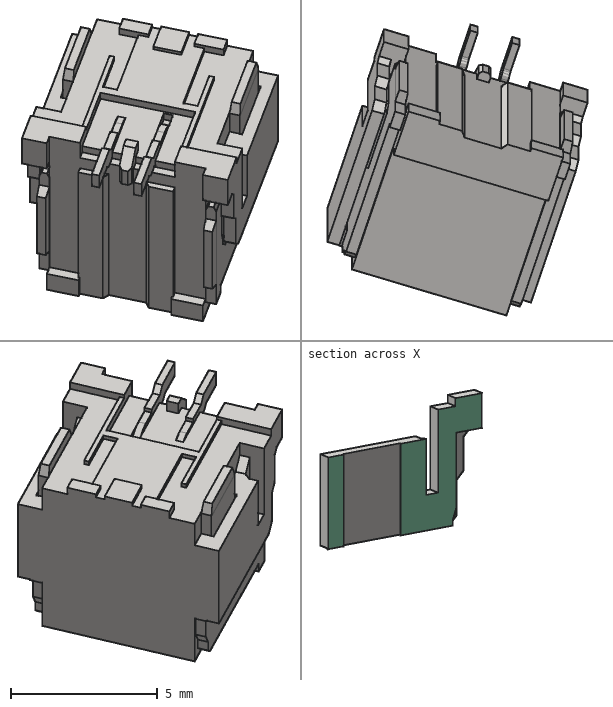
import cadquery as cq
import math

TOTAL_HEIGHT = 7.3
BODY_BOTTOM_Z = 0.785
WING_BOTTOM_Z = 2.74
WING_TOP_Z = 5.99
LEDGE_Z = 6.5
RECESS_FLOOR_Z = 6.8
MAIN_TOP_Z = 6.95
PANEL_TOP_Z = 7.105
PAD_TOP_Z = 7.24

REAR_Y = 7.4
BODY_FRONT_Y = 1.36
RIB_FRONT_Y = 1.155
CORNER_FRONT_Y = 1.035
CORNER_REAR_Y = 2.145
WING_BLOCK_REAR_Y = 2.865
LEDGE_REAR_Y = 1.635

OUTER_X = 3.65
SKIN_INNER_X = 3.22
PLATE_OUTER_X = 3.14
BODY_X = 2.77
RECESS_X = 1.68

SKIN_LOW_Y = 2.37
SKIN_MIDDLE_Y = 2.06
SKIN_MIDDLE_Z = (3.05, 4.31)
SKIN_UPPER_Y = 1.77
SKIN_UPPER_Z = (4.595, 5.795)

CORE_BOTTOM_Z = 2.71
CORE_UNDERCUT_Y = 2.24
CORE_UNDERCUT_Z = (2.885, 3.33)
CORE_FRONT_Y = 2.09

PLATE_REAR_Y = 7.305
PLATE_BOTTOM_Z = 0.94
PLATE_TAPER_Z = (1.5, 1.92)
PLATE_LOWER_REAR_Y = 7.075
PLATE_CORNER_CHAMFER = 0.185
PLATE_HOOK_REAR_Y = 1.99
PLATE_HOOK_BOTTOM_Z = 0.59
PLATE_FRONT_Y = 1.39
PLATE_TOP_Z = 5.36
PLATE_TOP_CHAMFER_X = 0.09
PLATE_TOP_CHAMFER_Z = 0.185
TAB_FRONT_Y = 1.01
TAB_BASE_Z = (1.555, 4.72)
TAB_TAPER_Z = 0.18
TOP_TAB_Y = (4.395, 6.74)
TOP_TAB_SHOULDER_Z = 6.89
TOP_TAB_TAPER_Y = 0.16
TAB_TAPER_X = 0.03

SLOT_BOTTOM_Z = 3.995
SLOT_DEEP_X = 3.13
SLOT_REAR_Y = 3.47
SLOT_CHAMFER = 0.19

PANEL_X = 1.17
ARM_OUTER_X = 1.85
ARM_REAR_Y = 5.71
PANEL_NOTCH_FRONT_Y = 4.24
RECESS_REAR_Y = 3.95

CENTRE_PAD_X = 0.495
CENTRE_PAD_LENGTH = 0.99
SIDE_PAD_X = (0.815, ARM_OUTER_X)
SIDE_PAD_LENGTH = 0.48

RIB_INNER_X = 0.815
RIB_ROOT_X = 0.66
FOOT_INNER_X = 1.635
FOOT_REAR_Y = 2.69
FOOT_CHAMFER = 0.185

NUB_X = 0.215
NUB_REAR_Y = 1.95
NUB_SLOPE_END_Z = 6.66
NUB_CHAMFER = 0.1

PIN_CENTRE_X = 0.75
PIN_WIDTH = 0.27
PIN_TAIL_Y = 3.63
PIN_TAIL_TOP_Y = 2.93
PIN_TAIL_Z = 6.9
PIN_STEP_Y = 2.33
PIN_MIDDLE_Z = 7.045
PIN_RISE_Y = (1.525, 1.27)
PIN_TIP_BOTTOM_Z = 6.705
PIN_ROOT_BOTTOM_Z = 6.52
PIN_BEND_Y = (1.17, 1.01)
PIN_INNER_BEND_RADIUS = 0.075
PIN_OUTER_BEND_RADIUS = 0.25
PIN_SLOT_WIDTH = 0.325
PIN_SLOT_REAR_Y = 3.87


def box(x_range, y_range, z_range):
    """Box between two places on each axis."""
    (x0, x1), (y0, y1), (z0, z1) = x_range, y_range, z_range
    return cq.Workplane("XY").box(x1 - x0, y1 - y0, z1 - z0, centered=False).translate((x0, y0, z0))


def side_profile(points, x_range):
    """Extrude a (Y, Z) outline between two X places."""
    x0, x1 = x_range
    return cq.Workplane("YZ").workplane(offset=x0).polyline(points).close().extrude(x1 - x0)


def top_profile(points, z_range):
    """Extrude an (X, Y) outline between two Z levels."""
    z0, z1 = z_range
    return cq.Workplane("XY").workplane(offset=z0).polyline(points).close().extrude(z1 - z0)


def both_sides(shape):
    """The shape together with its mirror image across X = 0."""
    return shape.union(shape.mirror("YZ"))


def make_body():
    return side_profile(
        [
            (BODY_FRONT_Y, 0),
            (FOOT_REAR_Y, 0),
            (FOOT_REAR_Y, BODY_BOTTOM_Z - FOOT_CHAMFER),
            (FOOT_REAR_Y + FOOT_CHAMFER, BODY_BOTTOM_Z),
            (REAR_Y, BODY_BOTTOM_Z),
            (REAR_Y, MAIN_TOP_Z),
            (CORNER_REAR_Y, MAIN_TOP_Z),
            (CORNER_REAR_Y, PAD_TOP_Z),
            (BODY_FRONT_Y, PAD_TOP_Z),
        ],
        (-BODY_X, BODY_X),
    )


def make_panel():
    """Raised panel with a narrow arm on each side reaching back."""
    half = [
        (PANEL_X, REAR_Y),
        (PANEL_X, PANEL_NOTCH_FRONT_Y),
        (RECESS_X, PANEL_NOTCH_FRONT_Y),
        (RECESS_X, ARM_REAR_Y),
        (ARM_OUTER_X, ARM_REAR_Y),
        (ARM_OUTER_X, CORNER_REAR_Y),
    ]
    mirrored = [(-x, y) for x, y in reversed(half)]
    return top_profile(half + mirrored, (MAIN_TOP_Z, PANEL_TOP_Z))


def make_pads():
    centre = box((-CENTRE_PAD_X, CENTRE_PAD_X), (REAR_Y - CENTRE_PAD_LENGTH, REAR_Y), (MAIN_TOP_Z, PAD_TOP_Z))
    side = box(SIDE_PAD_X, (REAR_Y - SIDE_PAD_LENGTH, REAR_Y), (MAIN_TOP_Z, PAD_TOP_Z))
    return centre.union(both_sides(side))


def make_front_recess():
    """Void over the pins: a floor, a lower ledge at the front and a slot around the right pin."""
    front_y = CORNER_FRONT_Y
    floor = box((-RECESS_X, RECESS_X), (front_y, RECESS_REAR_Y), (RECESS_FLOOR_Z, TOTAL_HEIGHT))
    ledge = box((-RECESS_X, RECESS_X), (front_y, LEDGE_REAR_Y), (LEDGE_Z, TOTAL_HEIGHT))
    slot = box(
        (PIN_CENTRE_X - PIN_SLOT_WIDTH / 2, PIN_CENTRE_X + PIN_SLOT_WIDTH / 2),
        (front_y, PIN_SLOT_REAR_Y),
        (LEDGE_Z, TOTAL_HEIGHT),
    )
    return floor.union(ledge).union(slot)


def make_ribs_and_feet():
    rib = top_profile(
        [
            (RIB_ROOT_X, BODY_FRONT_Y),
            (RIB_INNER_X, RIB_FRONT_Y),
            (RECESS_X, RIB_FRONT_Y),
            (RECESS_X, BODY_FRONT_Y),
        ],
        (0, WING_TOP_Z),
    )
    foot = box((FOOT_INNER_X, BODY_X), (CORNER_FRONT_Y, BODY_FRONT_Y), (0, BODY_BOTTOM_Z))
    return both_sides(rib.union(foot))


def make_wing():
    """Right wing: a front corner block, an outer skin and the thicker part inside it."""
    corner = side_profile(
        [
            (CORNER_FRONT_Y, WING_TOP_Z),
            (CORNER_FRONT_Y, PAD_TOP_Z),
            (CORNER_REAR_Y, PAD_TOP_Z),
            (CORNER_REAR_Y, MAIN_TOP_Z),
            (WING_BLOCK_REAR_Y, MAIN_TOP_Z),
            (WING_BLOCK_REAR_Y, WING_TOP_Z),
        ],
        (BODY_X, OUTER_X),
    )
    skin = side_profile(
        [
            (REAR_Y, WING_TOP_Z),
            (REAR_Y, WING_BOTTOM_Z),
            (SKIN_LOW_Y, WING_BOTTOM_Z),
            (SKIN_MIDDLE_Y, SKIN_MIDDLE_Z[0]),
            (SKIN_MIDDLE_Y, SKIN_MIDDLE_Z[1]),
            (SKIN_UPPER_Y, SKIN_UPPER_Z[0]),
            (SKIN_UPPER_Y, SKIN_UPPER_Z[1]),
            (SKIN_UPPER_Y - (WING_TOP_Z - SKIN_UPPER_Z[1]), WING_TOP_Z),
        ],
        (SKIN_INNER_X, OUTER_X),
    )
    core = side_profile(
        [
            (REAR_Y, WING_TOP_Z),
            (REAR_Y, CORE_BOTTOM_Z),
            (CORE_UNDERCUT_Y, CORE_BOTTOM_Z),
            (CORE_UNDERCUT_Y, CORE_UNDERCUT_Z[0]),
            (CORE_FRONT_Y, CORE_UNDERCUT_Z[1]),
            (CORE_FRONT_Y, WING_TOP_Z),
        ],
        (BODY_X, SKIN_INNER_X),
    )
    plate_gap = box((PLATE_OUTER_X, SKIN_INNER_X), TOP_TAB_Y, (CORE_BOTTOM_Z, WING_TOP_Z))
    slot = top_profile(
        [
            (OUTER_X, SLOT_REAR_Y),
            (SLOT_DEEP_X + SLOT_CHAMFER, SLOT_REAR_Y),
            (SLOT_DEEP_X, SLOT_REAR_Y - SLOT_CHAMFER),
            (SLOT_DEEP_X, WING_BLOCK_REAR_Y),
            (OUTER_X, WING_BLOCK_REAR_Y),
        ],
        (SLOT_BOTTOM_Z, WING_TOP_Z),
    )
    gusset_leg = SLOT_REAR_Y - SLOT_CHAMFER - WING_BLOCK_REAR_Y
    gusset = side_profile(
        [
            (WING_BLOCK_REAR_Y, WING_TOP_Z),
            (WING_BLOCK_REAR_Y + gusset_leg, WING_TOP_Z),
            (WING_BLOCK_REAR_Y, WING_TOP_Z + gusset_leg),
        ],
        (BODY_X, SLOT_DEEP_X),
    )
    return corner.union(skin).union(core).cut(plate_gap).cut(slot).union(gusset)


def make_plate():
    """Right side plate with a tapered tab on its front and another rising through the wing."""
    plate = side_profile(
        [
            (PLATE_FRONT_Y, PLATE_TOP_Z),
            (PLATE_FRONT_Y, PLATE_HOOK_BOTTOM_Z),
            (PLATE_HOOK_REAR_Y, PLATE_HOOK_BOTTOM_Z),
            (PLATE_HOOK_REAR_Y, PLATE_BOTTOM_Z),
            (PLATE_LOWER_REAR_Y - PLATE_CORNER_CHAMFER, PLATE_BOTTOM_Z),
            (PLATE_LOWER_REAR_Y, PLATE_BOTTOM_Z + PLATE_CORNER_CHAMFER),
            (PLATE_LOWER_REAR_Y, PLATE_TAPER_Z[0]),
            (PLATE_REAR_Y, PLATE_TAPER_Z[1]),
            (PLATE_REAR_Y, WING_BOTTOM_Z),
            (CORE_UNDERCUT_Y, WING_BOTTOM_Z),
            (CORE_UNDERCUT_Y, PLATE_TOP_Z),
        ],
        (BODY_X, PLATE_OUTER_X),
    )
    shoulder_z = PLATE_TOP_Z - PLATE_TOP_CHAMFER_Z
    for edge_x, inward in ((BODY_X, 1), (PLATE_OUTER_X, -1)):
        corner = (
            cq.Workplane("XZ")
            .polyline(
                [
                    (edge_x, PLATE_TOP_Z),
                    (edge_x + inward * PLATE_TOP_CHAMFER_X, PLATE_TOP_Z),
                    (edge_x, shoulder_z),
                ]
            )
            .close()
            .extrude(-REAR_Y)
        )
        plate = plate.cut(corner)

    middle_x = (BODY_X + PLATE_OUTER_X) / 2
    width = PLATE_OUTER_X - BODY_X
    tip_width = width - 2 * TAB_TAPER_X

    tab_height = TAB_BASE_Z[1] - TAB_BASE_Z[0]
    front_tab = (
        cq.Workplane("XZ", origin=(middle_x, PLATE_FRONT_Y, sum(TAB_BASE_Z) / 2))
        .rect(width, tab_height)
        .workplane(offset=PLATE_FRONT_Y - TAB_FRONT_Y)
        .rect(tip_width, tab_height - 2 * TAB_TAPER_Z)
        .loft()
    )

    top_tab_length = TOP_TAB_Y[1] - TOP_TAB_Y[0]
    top_tab_base = box((BODY_X, PLATE_OUTER_X), TOP_TAB_Y, (WING_TOP_Z, TOP_TAB_SHOULDER_Z))
    top_tab_tip = (
        cq.Workplane("XY", origin=(middle_x, sum(TOP_TAB_Y) / 2, TOP_TAB_SHOULDER_Z))
        .rect(width, top_tab_length)
        .workplane(offset=TOTAL_HEIGHT - TOP_TAB_SHOULDER_Z)
        .rect(tip_width, top_tab_length - 2 * TOP_TAB_TAPER_Y)
        .loft()
    )
    return plate.union(front_tab).union(top_tab_base).union(top_tab_tip)


def make_nub():
    """Key nub with a sloped top and chamfered front corners."""
    block = side_profile(
        [
            (CORNER_FRONT_Y, WING_TOP_Z),
            (CORNER_FRONT_Y, NUB_SLOPE_END_Z),
            (LEDGE_REAR_Y, PAD_TOP_Z),
            (NUB_REAR_Y, PAD_TOP_Z),
            (NUB_REAR_Y, WING_TOP_Z),
        ],
        (-NUB_X, NUB_X),
    )
    plan = box((-NUB_X, NUB_X), (CORNER_FRONT_Y, NUB_REAR_Y), (WING_TOP_Z, PAD_TOP_Z))
    return block.intersect(plan.faces("<Y").edges("|Z").chamfer(NUB_CHAMFER))


def make_pin(centre_x):
    """Flat pin: a curved tail, two steps, a rise and a straight tip."""
    tail_run = PIN_TAIL_Y - PIN_TAIL_TOP_Y
    tail_drop = PIN_TAIL_Z - LEDGE_Z
    tail_radius = (tail_run**2 + tail_drop**2) / (2 * tail_drop)
    half_angle = math.asin(tail_run / tail_radius) / 2
    tail_middle = (
        PIN_TAIL_TOP_Y + tail_radius * math.sin(half_angle),
        PIN_TAIL_Z - tail_radius * (1 - math.cos(half_angle)),
    )
    pin = (
        cq.Workplane("YZ")
        .workplane(offset=centre_x - PIN_WIDTH / 2)
        .moveTo(PIN_TAIL_Y, LEDGE_Z)
        .threePointArc(tail_middle, (PIN_TAIL_TOP_Y, PIN_TAIL_Z))
        .lineTo(PIN_STEP_Y, PIN_TAIL_Z)
        .lineTo(PIN_STEP_Y, PIN_MIDDLE_Z)
        .lineTo(PIN_RISE_Y[0], PIN_MIDDLE_Z)
        .lineTo(PIN_RISE_Y[1], TOTAL_HEIGHT)
        .lineTo(0, TOTAL_HEIGHT)
        .lineTo(0, PIN_TIP_BOTTOM_Z)
        .lineTo(PIN_BEND_Y[1], PIN_TIP_BOTTOM_Z)
        .lineTo(PIN_BEND_Y[0], PIN_ROOT_BOTTOM_Z)
        .lineTo(LEDGE_REAR_Y, PIN_ROOT_BOTTOM_Z)
        .lineTo(LEDGE_REAR_Y, LEDGE_Z)
        .close()
        .extrude(PIN_WIDTH)
    )
    bends = (
        (PIN_BEND_Y[1], PIN_TIP_BOTTOM_Z, PIN_INNER_BEND_RADIUS),
        (PIN_BEND_Y[0], PIN_ROOT_BOTTOM_Z, PIN_OUTER_BEND_RADIUS),
    )
    for y, z, radius in bends:
        pin = pin.edges(cq.NearestToPointSelector((centre_x, y, z))).fillet(radius)
    return pin


result = make_body().union(make_panel()).union(make_pads()).cut(make_front_recess())
result = result.union(make_ribs_and_feet())
result = result.union(both_sides(make_wing())).union(both_sides(make_plate()))
result = result.union(make_nub())
for pin_x in (-PIN_CENTRE_X, PIN_CENTRE_X):
    result = result.union(make_pin(pin_x))